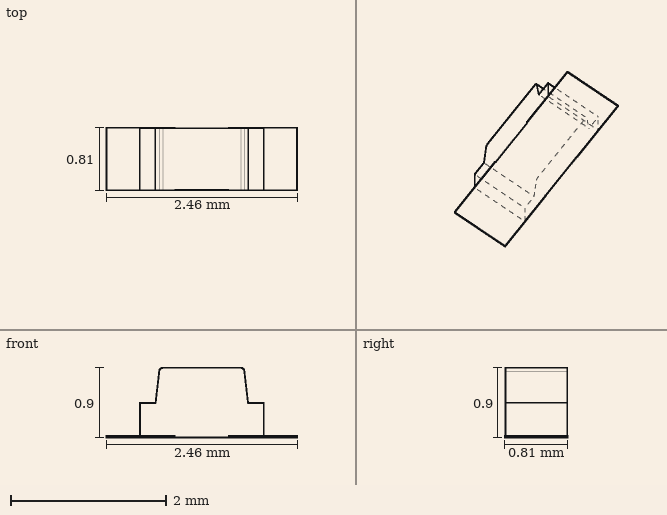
import cadquery as cq

total_length = 2.46
total_height = 0.9

terminal_width = 0.81
terminal_length = 0.883
terminal_thickness = 0.022

body_length = 1.6
body_width = 0.8
shoulder_height = 0.445
dome_base_length = 1.195
dome_top_length = 1.09
dome_edge_radius = 0.05


def make_base():
    """Rectangular block standing on the bottom plane."""
    return cq.Workplane("XY").box(
        body_length, body_width, shoulder_height, centered=(True, True, False)
    )


def make_dome():
    """Block with sloping ends and rounded upper end edges."""
    half_base = dome_base_length / 2
    half_top = dome_top_length / 2
    dome = (
        cq.Workplane("XZ")
        .moveTo(-half_base, shoulder_height)
        .lineTo(half_base, shoulder_height)
        .lineTo(half_top, total_height)
        .lineTo(-half_top, total_height)
        .close()
        .extrude(body_width / 2, both=True)
    )
    return dome.faces(">Z").edges("|Y").fillet(dome_edge_radius)


def make_terminal(side):
    """Thin plate at one end; side is -1 or 1 along X."""
    center_x = side * (total_length - terminal_length) / 2
    return (
        cq.Workplane("XY")
        .center(center_x, 0)
        .box(terminal_length, terminal_width, terminal_thickness, centered=(True, True, False))
    )


result = make_base().union(make_dome())
for side in (-1, 1):
    result = result.union(make_terminal(side))